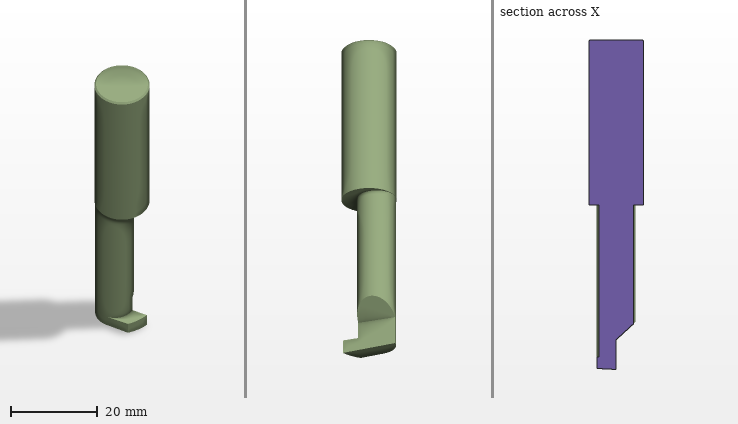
import cadquery as cq
import math

total_length = 76.2
shank_diameter = 12.7
shank_length = 38.1
shank_chamfer = 0.4
neck_diameter = 9.0

cut_height = 7.1
cut_outer_height = 11.2

head_top = 3.2
heel_x = 3.65
flank_bulge = 0.3
end_relief_x = 2.0
end_relief_y = 3.0

shank_radius = shank_diameter / 2
head_reach = shank_radius
neck_radius = neck_diameter / 2
neck_x = neck_radius - shank_radius
shank_bottom = total_length - shank_length


def make_shank():
    shank = cq.Workplane("XY").workplane(offset=shank_bottom).circle(shank_radius).extrude(shank_length)
    return shank.faces(">Z").chamfer(shank_chamfer)


def make_neck():
    """Eccentric neck, flush with the shank on -X, halved near its free end."""
    neck = cq.Workplane("XY").center(neck_x, 0).circle(neck_radius).extrude(shank_bottom)
    clearance = (
        cq.Workplane("YZ")
        .moveTo(0, 0)
        .lineTo(0, cut_height)
        .lineTo(neck_radius, cut_outer_height)
        .lineTo(neck_radius, 0)
        .close()
        .extrude(shank_diameter, both=True)
    )
    return neck.cut(clearance)


def make_head():
    """Cutting head with its rake face on Y = 0 and a curved outer flank."""
    chord_x = head_reach - heel_x
    chord = math.hypot(chord_x, neck_radius)
    flank_middle = (
        (head_reach + heel_x) / 2 + flank_bulge * neck_radius / chord,
        -neck_radius / 2 - flank_bulge * chord_x / chord,
    )
    return (
        cq.Workplane("XY")
        .moveTo(neck_x, 0)
        .lineTo(neck_x, -neck_radius)
        .lineTo(heel_x, -neck_radius)
        .threePointArc(flank_middle, (head_reach, 0))
        .close()
        .extrude(head_top)
    )


def make_end_relief():
    """Block below the end face, which rises from the tip toward -X and -Y."""
    block_size = 2 * shank_diameter
    slope_x = math.tan(math.radians(end_relief_x))
    slope_y = math.tan(math.radians(end_relief_y))
    end_plane = cq.Plane(origin=(head_reach, 0, 0), xDir=(1, 0, -slope_x), normal=(slope_x, slope_y, 1))
    return cq.Workplane(end_plane).rect(2 * block_size, 2 * block_size).extrude(-block_size)


result = make_shank().union(make_neck()).union(make_head()).cut(make_end_relief())